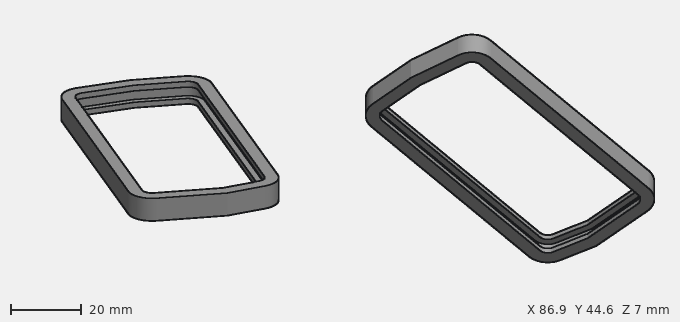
import cadquery as cq

HEIGHT = 7.0
LIP_HEIGHT = 1.75
WALL = 4.0
GROOVE_DEPTH = 2.0
CORNER_RADIUS = 7.0

LEFT_KINK = (-43.46, 0.1)
RIGHT_KINK = (43.46, 4.95)
BACK_LEFT = (-41.74, 21.755)
BACK_RIGHT = (40.27, 22.33)
FRONT_RIGHT = (41.35, -21.755)
FRONT_LEFT = (-41.28, -22.33)
OUTLINE = [LEFT_KINK, FRONT_LEFT, FRONT_RIGHT, RIGHT_KINK, BACK_RIGHT, BACK_LEFT]
ROUNDED_CORNERS = [FRONT_LEFT, FRONT_RIGHT, BACK_RIGHT, BACK_LEFT]


def inset_prism(inset, base, height):
    """Prism of the outline moved inward by inset, its corner arcs concentric with the outer ones."""
    outline = cq.Workplane("XY").workplane(offset=base).polyline(OUTLINE).close()
    if inset > 0:
        outline = outline.offset2D(-inset, "intersection")
    prism = outline.extrude(height)
    for x, y in ROUNDED_CORNERS:
        nearest_edge = cq.selectors.NearestToPointSelector((x, y, base + height / 2))
        prism = prism.edges("|Z").edges(nearest_edge).fillet(CORNER_RADIUS - inset)
    return prism


def make_frame():
    """Closed frame of constant wall thickness."""
    return inset_prism(0, 0, HEIGHT).cut(inset_prism(WALL, 0, HEIGHT))


def cut_groove(frame):
    """Groove running all round the inner wall, between the two lips."""
    groove_height = HEIGHT - 2 * LIP_HEIGHT
    return frame.cut(inset_prism(WALL - GROOVE_DEPTH, LIP_HEIGHT, groove_height))


result = cut_groove(make_frame())